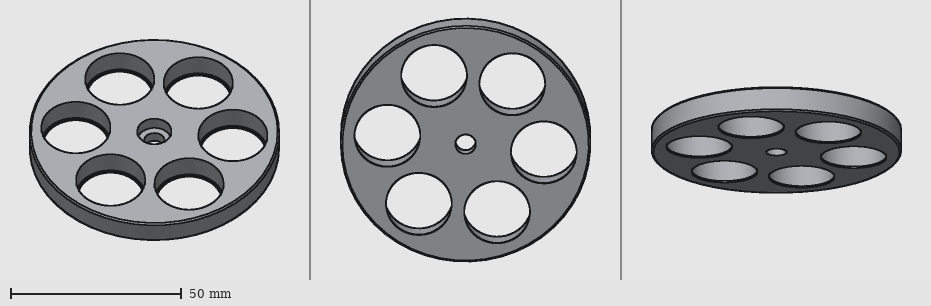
import cadquery as cq

disc_diameter = 73.0
disc_thickness = 7.5
edge_chamfer = 0.5

pocket_count = 6
pocket_circle_radius = 23.0
pocket_diameter = 20.2
pocket_opening_diameter = 19.2
lip_thickness = 0.5

bore_diameter = 6.0
counterbore_diameter = 10.0
counterbore_depth = 4.0


def make_disc():
    """Disc standing on Z = 0 with both rims chamfered."""
    disc = cq.Workplane("XY").circle(disc_diameter / 2).extrude(disc_thickness)
    return disc.edges("%CIRCLE").chamfer(edge_chamfer)


def cut_pockets(body):
    """Cut the evenly spaced stepped pockets from the top face."""
    return (
        body.faces(">Z").workplane(origin=(0, 0, 0))
        .polarArray(pocket_circle_radius, 0, 360, pocket_count)
        .cboreHole(pocket_opening_diameter, pocket_diameter, disc_thickness - lip_thickness)
    )


def cut_hub(body):
    """Cut the central counterbored through hole."""
    return (
        body.faces(">Z").workplane(origin=(0, 0, 0))
        .cboreHole(bore_diameter, counterbore_diameter, counterbore_depth)
    )


result = cut_hub(cut_pockets(make_disc()))